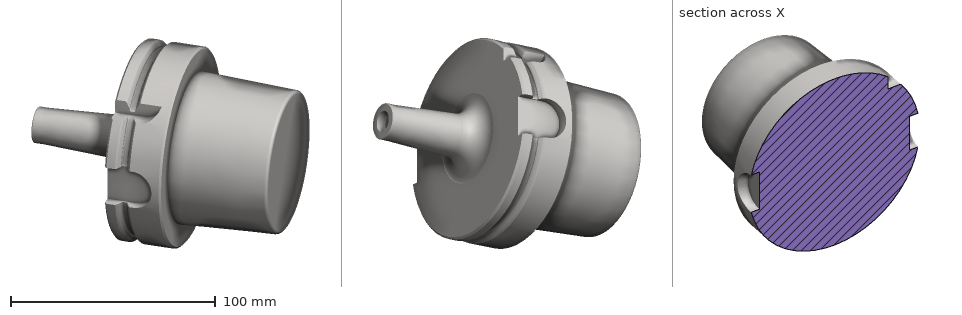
import cadquery as cq
import math

FLANGE_LENGTH = 29.0
NECK_LENGTH = 49.9
SHANK_LENGTH = 129 - FLANGE_LENGTH - NECK_LENGTH
FLANGE_FACE = -FLANGE_LENGTH
TIP = FLANGE_FACE - NECK_LENGTH

FLANGE_RADIUS = 100.0 / 2
FLANGE_CHAMFER = 1.0

GROOVE_CENTER = FLANGE_FACE + 9.2
GROOVE_DEPTH = 4.0
GROOVE_FLOOR_HALF_WIDTH = 1.7
GROOVE_FLOOR_FILLET = 0.6
GROOVE_STRAIGHT_WALL = 1.2
GROOVE_SHOULDER_HALF_WIDTH = 3.0
GROOVE_MOUTH_HALF_WIDTH = 3.7
GROOVE_EDGE_CHAMFER = 0.8

SHANK_RADIUS = 37.9
SHANK_END_RADIUS = 35.6
SHANK_END_ROUND = 1.7

TIP_RADIUS = 9.0
TIP_CHAMFER = 0.4
TIP_LENGTH = 4.8
NECK_RADIUS = 21.4 / 2
NECK_BAND_LENGTH = 1.2
NECK_FILLET = 20.0 / 2
NECK_FILLET_START = TIP + 40.1
FILLET_END_RADIUS = 21.9
FILLET_RIM_RADIUS = 22.3

BORE_RADIUS = 10.5 / 2
BORE_DEPTH = 5.2

CUTTER_RADIUS = 20.0 / 2
SLOT_LENGTH = 24.4
SLOT_FLOOR = 44.0
NARROW_SLOT_WIDTH = 2 * CUTTER_RADIUS
WIDE_SLOT_WIDTH = 22.0
NOTCH_OFFSET = 31.6


def holder_body():
    """Revolve neck, flange and shank around X."""
    diagonal = NECK_FILLET * math.sqrt(0.5)
    past_bottom = FILLET_END_RADIUS - NECK_RADIUS - NECK_FILLET
    fillet_end = (
        NECK_FILLET_START + math.sqrt(NECK_FILLET**2 - past_bottom**2),
        FILLET_END_RADIUS,
    )
    fillet_mid = (
        NECK_FILLET_START + diagonal,
        NECK_RADIUS + NECK_FILLET - diagonal,
    )
    round_slope = (SHANK_RADIUS - SHANK_END_RADIUS) / SHANK_LENGTH
    round_start_radius = SHANK_END_RADIUS + SHANK_END_ROUND * round_slope
    round_mid = (
        SHANK_LENGTH - SHANK_END_ROUND * (1 - math.sqrt(0.5)),
        round_start_radius - SHANK_END_ROUND * (1 - math.sqrt(0.5)),
    )
    profile = (
        cq.Workplane("XY")
        .moveTo(TIP, 0)
        .lineTo(TIP, TIP_RADIUS - TIP_CHAMFER)
        .lineTo(TIP + TIP_CHAMFER, TIP_RADIUS)
        .lineTo(TIP + TIP_LENGTH, TIP_RADIUS)
        .lineTo(NECK_FILLET_START - NECK_BAND_LENGTH, NECK_RADIUS)
        .lineTo(NECK_FILLET_START, NECK_RADIUS)
        .threePointArc(fillet_mid, fillet_end)
        .lineTo(FLANGE_FACE, FILLET_RIM_RADIUS)
        .lineTo(FLANGE_FACE, FLANGE_RADIUS - FLANGE_CHAMFER)
        .lineTo(FLANGE_FACE + FLANGE_CHAMFER, FLANGE_RADIUS)
        .lineTo(-FLANGE_CHAMFER, FLANGE_RADIUS)
        .lineTo(0, FLANGE_RADIUS - FLANGE_CHAMFER)
        .lineTo(0, SHANK_RADIUS)
        .lineTo(SHANK_LENGTH - SHANK_END_ROUND, round_start_radius)
        .threePointArc(round_mid, (SHANK_LENGTH, round_start_radius - SHANK_END_ROUND))
        .lineTo(SHANK_LENGTH, 0)
        .close()
    )
    return profile.revolve(360, (0, 0, 0), (1, 0, 0))


def gripper_groove():
    """Ring with flared walls, a straight-sided filleted floor and broken outer edges."""
    floor = FLANGE_RADIUS - GROOVE_DEPTH
    flare_start = floor + GROOVE_STRAIGHT_WALL
    shoulder = FLANGE_RADIUS - GROOVE_EDGE_CHAMFER
    section = [
        (GROOVE_CENTER - GROOVE_MOUTH_HALF_WIDTH, FLANGE_RADIUS),
        (GROOVE_CENTER - GROOVE_SHOULDER_HALF_WIDTH, shoulder),
        (GROOVE_CENTER - GROOVE_FLOOR_HALF_WIDTH, flare_start),
        (GROOVE_CENTER - GROOVE_FLOOR_HALF_WIDTH, floor),
        (GROOVE_CENTER + GROOVE_FLOOR_HALF_WIDTH, floor),
        (GROOVE_CENTER + GROOVE_FLOOR_HALF_WIDTH, flare_start),
        (GROOVE_CENTER + GROOVE_SHOULDER_HALF_WIDTH, shoulder),
        (GROOVE_CENTER + GROOVE_MOUTH_HALF_WIDTH, FLANGE_RADIUS),
    ]
    ring = cq.Workplane("XY").polyline(section).close().revolve(360, (0, 0, 0), (1, 0, 0))
    floor_corners = cq.selectors.RadiusNthSelector(0)
    return ring.edges(floor_corners).fillet(GROOVE_FLOOR_FILLET)


def tip_bore():
    """Flat-bottomed blind bore in the tip."""
    return cq.Workplane("YZ", origin=(TIP, 0, 0)).circle(BORE_RADIUS).extrude(BORE_DEPTH)


def drive_slot(width, side):
    """Slot open at the flange face; side is +1 or -1 along Y."""
    half = width / 2
    flat_half = half - CUTTER_RADIUS
    diagonal = CUTTER_RADIUS * math.sqrt(0.5)
    end = FLANGE_FACE + SLOT_LENGTH
    arc_start = end - CUTTER_RADIUS
    outline = (
        cq.Workplane("XZ", origin=(0, side * SLOT_FLOOR, 0))
        .moveTo(FLANGE_FACE, -half)
        .lineTo(arc_start, -half)
        .threePointArc((arc_start + diagonal, -flat_half - diagonal), (end, -flat_half))
    )
    if flat_half > 0:
        outline = outline.lineTo(end, flat_half)
    outline = (
        outline
        .threePointArc((arc_start + diagonal, flat_half + diagonal), (arc_start, half))
        .lineTo(FLANGE_FACE, half)
        .close()
    )
    return outline.extrude(-side * (FLANGE_RADIUS - SLOT_FLOOR))


def index_notch():
    """Corner notch on the -Y, +Z side whose floor runs out along a cutter arc."""
    end = FLANGE_FACE + SLOT_LENGTH
    arc_start = end - CUTTER_RADIUS
    diagonal = CUTTER_RADIUS * math.sqrt(0.5)
    arc_mid = (arc_start + diagonal, NOTCH_OFFSET + CUTTER_RADIUS - diagonal)
    return (
        cq.Workplane("XZ", origin=(0, -NOTCH_OFFSET, 0))
        .moveTo(FLANGE_FACE, NOTCH_OFFSET)
        .lineTo(arc_start, NOTCH_OFFSET)
        .threePointArc(arc_mid, (end, NOTCH_OFFSET + CUTTER_RADIUS))
        .lineTo(end, FLANGE_RADIUS)
        .lineTo(FLANGE_FACE, FLANGE_RADIUS)
        .close()
        .extrude(FLANGE_RADIUS - NOTCH_OFFSET)
    )


result = (
    holder_body()
    .cut(gripper_groove())
    .cut(tip_bore())
    .cut(drive_slot(NARROW_SLOT_WIDTH, -1))
    .cut(drive_slot(WIDE_SLOT_WIDTH, 1))
    .cut(index_notch())
)